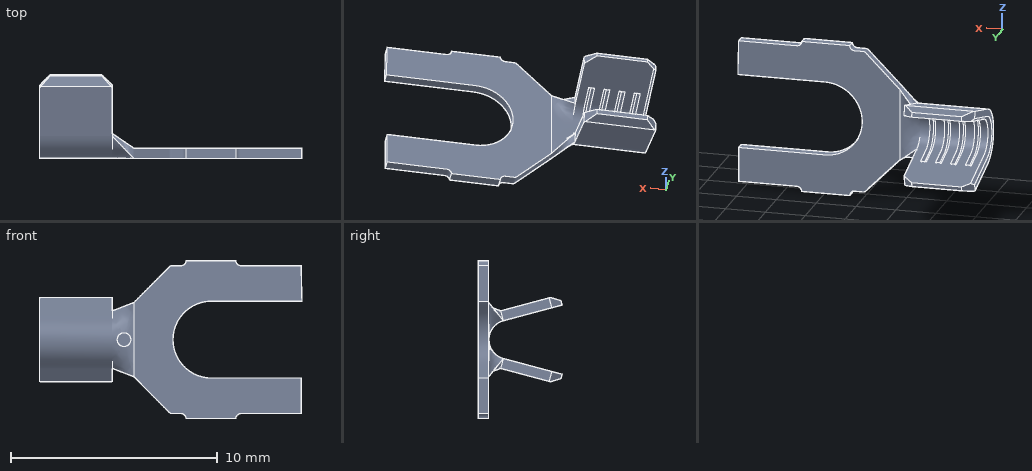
import cadquery as cq
import math

thickness = 0.51

barrel_length = 3.53
barrel_front = 0.01
bend_radius = 1.45
flare_angle = 15
part_depth = 4.06
tip_bevel_depth = 0.28
tip_bevel_length = 0.46
corner_cut = 0.52
entry_chamfer = 0.15

groove_count = 4
groove_pitch = 0.75
first_groove_x = 0.67
groove_width = 0.29
groove_depth = 0.15
groove_leg_length = 1.02

neck_end = 4.57
neck_end_half_height = 1.8
button_x = 4.09
button_radius = 0.33
button_length = 0.32

part_length = 12.7
part_height = 7.65
shoulder_x = 6.34
shoulder_fillet = 0.17
arm_half_height = 3.58
lug_start = 7.09
lug_end = 9.5
slot_half_width = 1.85
slot_bottom = 6.46
short_tip = 12.66

inner_radius = bend_radius - thickness
bend_center_y = barrel_front + bend_radius
flare_sin = math.sin(math.radians(flare_angle))
flare_cos = math.cos(math.radians(flare_angle))
leg_length = (part_depth - bend_center_y + inner_radius * flare_sin) / flare_cos


def leg_point(along, radius, side=1):
    """(Y, Z) on a leg: distance from the bend, and distance from the bend axis across the leg."""
    y = bend_center_y + along * flare_cos - radius * flare_sin
    z = along * flare_sin + radius * flare_cos
    return y, side * z


def bend_bottom(radius):
    return bend_center_y - radius, 0


def leg_plane(along, radius, normal):
    """Plane on the upper leg at the open end, with its local x along X."""
    return cq.Plane(origin=(0, *leg_point(along, radius)), xDir=(1, 0, 0), normal=normal)


def make_u_section():
    bevel_start = leg_length - tip_bevel_length
    bevel_end_radius = bend_radius - tip_bevel_depth
    return (
        cq.Workplane("YZ")
        .moveTo(*leg_point(leg_length, inner_radius))
        .lineTo(*leg_point(leg_length, bevel_end_radius))
        .lineTo(*leg_point(bevel_start, bend_radius))
        .lineTo(*leg_point(0, bend_radius))
        .threePointArc(bend_bottom(bend_radius), leg_point(0, bend_radius, -1))
        .lineTo(*leg_point(bevel_start, bend_radius, -1))
        .lineTo(*leg_point(leg_length, bevel_end_radius, -1))
        .lineTo(*leg_point(leg_length, inner_radius, -1))
        .lineTo(*leg_point(0, inner_radius, -1))
        .threePointArc(bend_bottom(inner_radius), leg_point(0, inner_radius))
        .close()
    )


def make_corner_cuts():
    """Triangular prisms through the thickness of both legs at the tip corners."""
    plane = leg_plane(leg_length, inner_radius, normal=(0, -flare_sin, flare_cos))
    cuts = cq.Workplane(plane)
    for corner_x, inward in ((0, 1), (barrel_length, -1)):
        cuts = (
            cuts.moveTo(corner_x, 0)
            .lineTo(corner_x + inward * corner_cut, 0)
            .lineTo(corner_x, -corner_cut)
            .close()
        )
    upper = cuts.extrude(thickness)
    return upper.union(upper.mirror("XY"))


def sweep_inside_barrel(corners, run_length):
    """Sweep a profile of (X, depth into the metal) corners up, around and down the inner surface."""
    path = (
        cq.Workplane("YZ")
        .moveTo(*leg_point(run_length, inner_radius))
        .lineTo(*leg_point(0, inner_radius))
        .threePointArc(bend_bottom(inner_radius), leg_point(0, inner_radius, -1))
        .lineTo(*leg_point(run_length, inner_radius, -1))
    )
    plane = leg_plane(run_length, inner_radius, normal=(0, -flare_cos, -flare_sin))
    return cq.Workplane(plane).polyline(corners).close().sweep(path)


def make_barrel():
    barrel = make_u_section().extrude(barrel_length).cut(make_corner_cuts())
    chamfer_corners = [(0, 0), (entry_chamfer, 0), (0, entry_chamfer)]
    barrel = barrel.cut(sweep_inside_barrel(chamfer_corners, leg_length))
    for index in range(groove_count):
        center = first_groove_x + index * groove_pitch
        groove_corners = [
            (center - groove_width / 2, 0),
            (center + groove_width / 2, 0),
            (center, groove_depth),
        ]
        barrel = barrel.cut(sweep_inside_barrel(groove_corners, groove_leg_length))
    return barrel


def make_neck():
    """Ruled transition from the bend of the barrel to the flat fork, with the button on its front."""
    neck = (
        cq.Workplane("YZ", origin=(barrel_length, 0, 0))
        .moveTo(*leg_point(0, bend_radius))
        .threePointArc(bend_bottom(bend_radius), leg_point(0, bend_radius, -1))
        .lineTo(*leg_point(0, inner_radius, -1))
        .threePointArc(bend_bottom(inner_radius), leg_point(0, inner_radius))
        .close()
        .workplane(offset=neck_end - barrel_length)
        .moveTo(0, neck_end_half_height)
        .lineTo(0, -neck_end_half_height)
        .lineTo(thickness, -neck_end_half_height)
        .lineTo(thickness, neck_end_half_height)
        .close()
        .loft(ruled=True)
    )
    button = (
        cq.Workplane("XZ")
        .center(button_x, 0)
        .circle(button_radius)
        .extrude(-button_length)
    )
    return neck.union(button)


def make_fork_half(side, inner_tip):
    """Half of the fork on one side of Z = 0; inner_tip is the X of the tip corner next to the slot."""
    lug_half_height = part_height / 2
    lug_fillet = lug_half_height - arm_half_height
    fillet_middle = lug_fillet * (1 - math.sqrt(0.5))
    slot_center = slot_bottom + slot_half_width
    slot_middle = slot_half_width * math.sqrt(0.5)
    half = (
        cq.Workplane("XZ")
        .moveTo(neck_end, 0)
        .lineTo(neck_end, neck_end_half_height)
        .lineTo(shoulder_x, arm_half_height)
        .lineTo(lug_start - lug_fillet, arm_half_height)
        .threePointArc(
            (lug_start - fillet_middle, arm_half_height + fillet_middle),
            (lug_start, lug_half_height),
        )
        .lineTo(lug_end, lug_half_height)
        .threePointArc(
            (lug_end + fillet_middle, arm_half_height + fillet_middle),
            (lug_end + lug_fillet, arm_half_height),
        )
        .lineTo(short_tip, arm_half_height)
        .lineTo(inner_tip, slot_half_width)
        .lineTo(slot_center, slot_half_width)
        .threePointArc((slot_center - slot_middle, slot_middle), (slot_bottom, 0))
        .close()
        .extrude(-thickness)
        .edges(cq.NearestToPointSelector((shoulder_x, thickness / 2, arm_half_height)))
        .fillet(shoulder_fillet)
    )
    return half if side > 0 else half.mirror("XY")


def make_fork():
    upper = make_fork_half(1, part_length)
    lower = make_fork_half(-1, short_tip)
    return upper.union(lower)


result = make_barrel().union(make_neck()).union(make_fork()).clean()